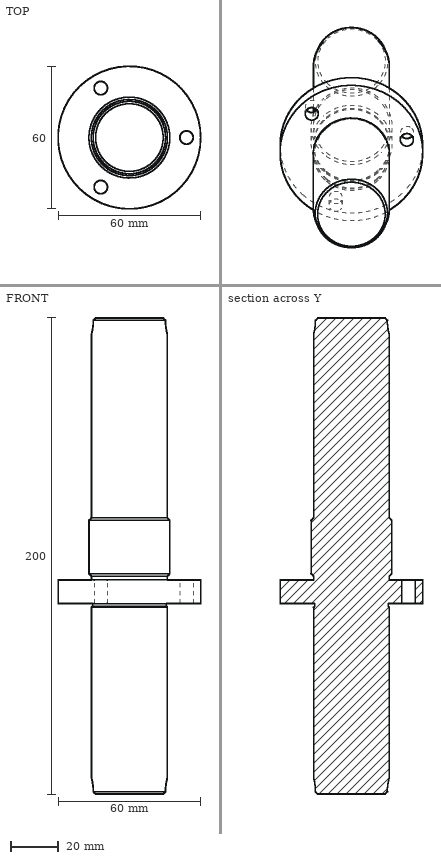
import cadquery as cq
import math

TOTAL_LENGTH = 200.0
SHAFT_RADIUS = 16.0

TIP_RADIUS = 15.2
TIP_CHAMFER = 1.0
RELIEF_END = 7.0

FLANGE_RADIUS = 30.0
FLANGE_THICKNESS = 10.0
FLANGE_BOTTOM = 80.0
FLANGE_TOP = FLANGE_BOTTOM + FLANGE_THICKNESS

NECK_RADIUS = 15.5
UPPER_NECK_HEIGHT = 1.5
LOWER_NECK_HEIGHT = 1.0
NECK_CHAMFER = SHAFT_RADIUS - NECK_RADIUS

COLLAR_RADIUS = 17.0
COLLAR_BOTTOM = FLANGE_TOP + UPPER_NECK_HEIGHT
COLLAR_TOP = 116.0
COLLAR_CHAMFER = COLLAR_RADIUS - SHAFT_RADIUS

HOLE_COUNT = 3
HOLE_DIAMETER = 5.5
HOLE_CIRCLE_RADIUS = 24.0


def relief_midpoint():
    """Radius and distance from the end of the relief arc's middle.

    The arc runs parallel to the axis where it meets the tip.
    """
    rise = SHAFT_RADIUS - TIP_RADIUS
    length = RELIEF_END - TIP_CHAMFER
    arc_radius = (length**2 + rise**2) / (2 * rise)
    half_angle = math.asin(length / arc_radius) / 2
    radius = TIP_RADIUS + arc_radius * (1 - math.cos(half_angle))
    return radius, TIP_CHAMFER + arc_radius * math.sin(half_angle)


def make_body():
    mid_radius, mid_distance = relief_midpoint()
    lower_neck_bottom = FLANGE_BOTTOM - LOWER_NECK_HEIGHT
    profile = (
        cq.Workplane("XZ")
        .moveTo(0, 0)
        .lineTo(TIP_RADIUS - TIP_CHAMFER, 0)
        .lineTo(TIP_RADIUS, TIP_CHAMFER)
        .threePointArc((mid_radius, mid_distance), (SHAFT_RADIUS, RELIEF_END))
        .lineTo(SHAFT_RADIUS, lower_neck_bottom - NECK_CHAMFER)
        .lineTo(NECK_RADIUS, lower_neck_bottom)
        .lineTo(NECK_RADIUS, FLANGE_BOTTOM)
        .lineTo(FLANGE_RADIUS, FLANGE_BOTTOM)
        .lineTo(FLANGE_RADIUS, FLANGE_TOP)
        .lineTo(SHAFT_RADIUS, FLANGE_TOP)
        .lineTo(SHAFT_RADIUS, COLLAR_BOTTOM)
        .lineTo(COLLAR_RADIUS, COLLAR_BOTTOM + COLLAR_CHAMFER)
        .lineTo(COLLAR_RADIUS, COLLAR_TOP - COLLAR_CHAMFER)
        .lineTo(SHAFT_RADIUS, COLLAR_TOP)
        .lineTo(SHAFT_RADIUS, TOTAL_LENGTH - RELIEF_END)
        .threePointArc(
            (mid_radius, TOTAL_LENGTH - mid_distance),
            (TIP_RADIUS, TOTAL_LENGTH - TIP_CHAMFER),
        )
        .lineTo(TIP_RADIUS - TIP_CHAMFER, TOTAL_LENGTH)
        .lineTo(0, TOTAL_LENGTH)
        .close()
    )
    return profile.revolve(360, (0, 0, 0), (0, 1, 0))


def make_flange_holes():
    return (
        cq.Workplane("XY")
        .workplane(offset=FLANGE_BOTTOM)
        .polarArray(HOLE_CIRCLE_RADIUS, 0, 360, HOLE_COUNT)
        .circle(HOLE_DIAMETER / 2)
        .extrude(FLANGE_THICKNESS)
    )


result = make_body().cut(make_flange_holes())